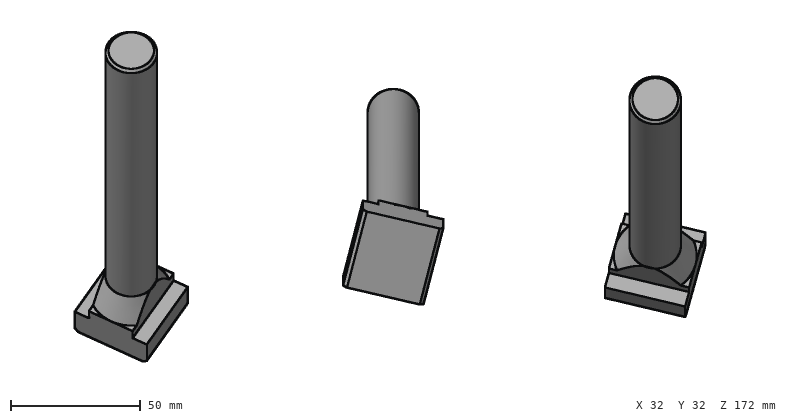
import cadquery as cq

total_length = 172.0
head_side = 32.0
head_height = 12.0
head_chamfer = 1.5
neck_width = 19.5
neck_top = 16.5
cone_top = 27.2
shank_diameter = 20.0
tip_chamfer = 1.2

shank_radius = shank_diameter / 2
cone_base_radius = head_side / 2


def make_head():
    """Square head, with its two bottom edges along Y chamfered."""
    head = cq.Workplane("XY").box(head_side, head_side, head_height, centered=(True, True, False))
    return head.faces("<Z").edges("|Y").chamfer(head_chamfer)


def make_neck():
    """Rectangular neck with a cone above it, both cut to the slot width."""
    block = cq.Workplane("XY").box(neck_width, head_side, neck_top, centered=(True, True, False))
    cone = (
        cq.Workplane("XY")
        .workplane(offset=neck_top)
        .circle(cone_base_radius)
        .workplane(offset=cone_top - neck_top)
        .circle(shank_radius)
        .loft(ruled=True)
    )
    slot = cq.Workplane("XY").box(neck_width, head_side, cone_top, centered=(True, True, False))
    return block.union(cone.intersect(slot))


def make_shank():
    """Round shank with a chamfered tip."""
    shank = (
        cq.Workplane("XY")
        .workplane(offset=cone_top)
        .circle(shank_radius)
        .extrude(total_length - cone_top)
    )
    return shank.faces(">Z").chamfer(tip_chamfer)


result = make_head().union(make_neck()).union(make_shank())